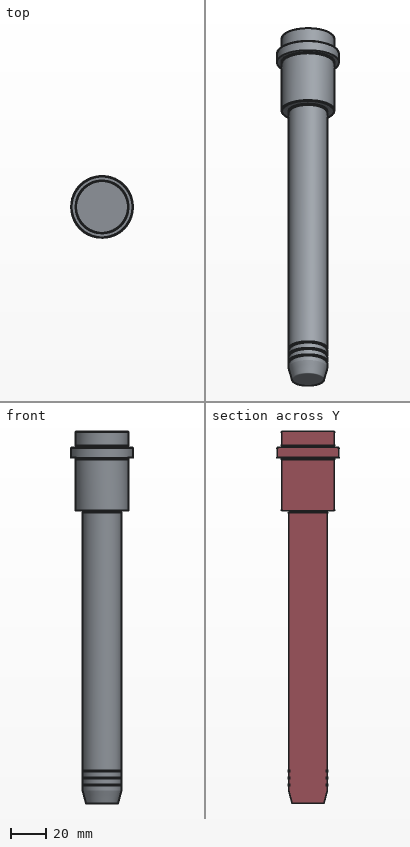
import cadquery as cq
import math

LENGTH = 210.0
PIN_DIAMETER = 22.0
HEAD_DIAMETER = 30.0
HEAD_LENGTH = 45.0

COLLAR_DIAMETER = 35.0
COLLAR_TOP_DEPTH = 9.0
COLLAR_THICKNESS = 5.9

CHAMFER = 0.5

GROOVE_RADIUS = 0.5

OIL_GROOVE_COUNT = 3
OIL_GROOVE_PITCH = 4.0
LOWEST_OIL_GROOVE_Z = 10.5

TAPER_HEIGHT = 7.4
TAPER_ANGLE = 15.0
TIP_FILLET = 0.5

pin_radius = PIN_DIAMETER / 2
head_radius = HEAD_DIAMETER / 2
collar_radius = COLLAR_DIAMETER / 2
tip_radius = pin_radius - TAPER_HEIGHT * math.tan(math.radians(TAPER_ANGLE))
head_bottom_z = LENGTH - HEAD_LENGTH
collar_top_z = LENGTH - COLLAR_TOP_DEPTH
collar_bottom_z = collar_top_z - COLLAR_THICKNESS


def revolve_outline(outline):
    """Close an outline whose ends lie on the Z axis and turn it into a solid."""
    return outline.close().revolve(360, (0, 0), (0, 1))


def cut_groove(shaft, shaft_radius, center_z):
    """Cut a half-round groove around a shaft, centred on its surface."""
    section = cq.Workplane("XZ").center(-shaft_radius, center_z).circle(GROOVE_RADIUS)
    ring = section.revolve(360, (shaft_radius, 0), (shaft_radius, 1))
    return shaft.cut(ring)


def make_pin():
    """Pin with a tapered tip, oil grooves above the taper and a relief groove under the head."""
    outline = (
        cq.Workplane("XZ")
        .lineTo(-tip_radius, 0)
        .lineTo(-pin_radius, TAPER_HEIGHT)
        .lineTo(-pin_radius, head_bottom_z)
        .lineTo(0, head_bottom_z)
    )
    pin = revolve_outline(outline).faces("<Z").edges().fillet(TIP_FILLET)
    for index in range(OIL_GROOVE_COUNT):
        pin = cut_groove(pin, pin_radius, LOWEST_OIL_GROOVE_Z + index * OIL_GROOVE_PITCH)
    return cut_groove(pin, pin_radius, head_bottom_z - GROOVE_RADIUS)


def make_head():
    """Head with a collar and a relief groove against each face of the collar."""
    outline = (
        cq.Workplane("XZ")
        .moveTo(0, head_bottom_z)
        .lineTo(-head_radius + CHAMFER, head_bottom_z)
        .line(-CHAMFER, CHAMFER)
        .lineTo(-head_radius, collar_bottom_z)
        .lineTo(-collar_radius, collar_bottom_z)
        .lineTo(-collar_radius, collar_top_z - CHAMFER)
        .line(CHAMFER, CHAMFER)
        .lineTo(-head_radius, collar_top_z)
        .lineTo(-head_radius, LENGTH - CHAMFER)
        .line(CHAMFER, CHAMFER)
        .lineTo(0, LENGTH)
    )
    head = revolve_outline(outline)
    head = cut_groove(head, head_radius, collar_bottom_z - GROOVE_RADIUS)
    return cut_groove(head, head_radius, collar_top_z + GROOVE_RADIUS)


result = make_pin().union(make_head())